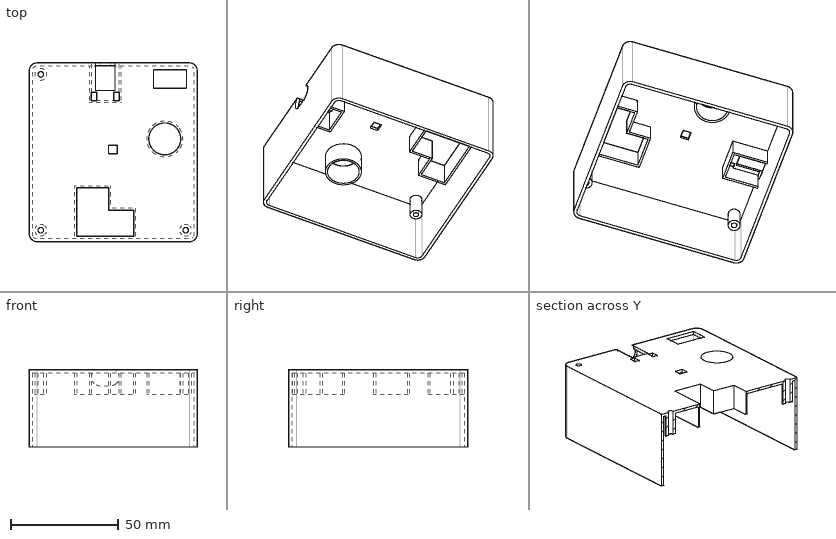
import cadquery as cq

width = 78.6
depth = 83.7
height = 36.3
wall = 1.5
lid_thickness = 1.5
corner_radius = 3.8

collar_wall = 1.0
collar_depth = 11.7
collar_floor = height - collar_depth
post_diameter = 5.5
screw_diameter = 2.5
screw_inset = 5.45
screw_points = [
    (screw_inset, screw_inset),
    (width - screw_inset, screw_inset),
    (screw_inset, depth - screw_inset),
]

l_left = 22.3
l_front = 2.7
l_width = 26.55
l_length = 22.5
l_stem_width = 14.8
l_foot_length = 12.1

round_center = (63.4, 48.15)
round_diameter = 14.8

rear_window = (58.2, 71.85, 15.2, 8.5)

sensor_window = (37.1, 41.3, 4.0, 3.85)

notch_left = 31.1
notch_width = 9.05
notch_length = 12.9
notch_center = notch_left + notch_width / 2

opening_width = 13.0
opening_height = 8.0
opening_rise = 0.4
opening_level = height + opening_rise - opening_height / 2

slot_width = 2.4
slot_length = 3.85
slot_front = 66.1
slot_spacing = 10.5


def block(left, front, size_x, size_y, bottom, top):
    """Upright box given by its front-left corner, plan size and level range."""
    return (
        cq.Workplane("XY", origin=(left, front, bottom))
        .box(size_x, size_y, top - bottom, centered=False)
    )


def cylinders(points, diameter):
    """Upright cylinders from the collar floor to the top face."""
    return (
        cq.Workplane("XY", origin=(0, 0, collar_floor))
        .pushPoints(points)
        .circle(diameter / 2)
        .extrude(collar_depth)
    )


def l_prism(margin):
    """L-shaped prism, grown outward on every side by the margin."""
    left = l_left - margin
    front = l_front - margin
    right = l_left + l_width + margin
    back = l_front + l_length + margin
    stem_right = l_left + l_stem_width + margin
    foot_back = l_front + l_foot_length + margin
    return (
        cq.Workplane("XY", origin=(0, 0, collar_floor))
        .polyline([
            (left, front),
            (right, front),
            (right, foot_back),
            (stem_right, foot_back),
            (stem_right, back),
            (left, back),
        ])
        .close()
        .extrude(collar_depth)
    )


def shell():
    """Rounded box that is closed by the lid and open at the bottom."""
    outside = block(0, 0, width, depth, 0, height).edges("|Z").fillet(corner_radius)
    cavity = (
        block(wall, wall, width - 2 * wall, depth - 2 * wall, 0, height - lid_thickness)
        .edges("|Z")
        .fillet(corner_radius - wall)
    )
    return outside.cut(cavity)


def lid_notch():
    """Rectangular notch through the lid at the rear edge."""
    return block(
        notch_left, depth - notch_length, notch_width, notch_length, height - lid_thickness, height
    )


def cable_opening():
    """Round-ended opening across the rear wall."""
    return (
        cq.Workplane("XZ", origin=(notch_center, depth, opening_level))
        .slot2D(opening_width, opening_height)
        .extrude(wall)
    )


def cable_pocket(margin):
    """Space between the cable collar walls, grown sideways and forward by the margin."""
    size_x = slot_spacing + slot_width
    return block(
        notch_center - size_x / 2 - margin,
        slot_front - margin,
        size_x + 2 * margin,
        depth - wall - slot_front + margin,
        collar_floor,
        height - lid_thickness,
    )


def tie_slots():
    """Two lid slots, one on each side of the notch centre line."""
    slots = cq.Workplane("XY")
    for side in (-1, 1):
        left = notch_center + side * slot_spacing / 2 - slot_width / 2
        slots = slots.add(
            block(left, slot_front, slot_width, slot_length, height - lid_thickness, height)
        )
    return slots.combine()


def lid_window(window):
    """Rectangular opening through the lid."""
    left, front, size_x, size_y = window
    return block(left, front, size_x, size_y, height - lid_thickness, height)


result = (
    shell()
    .union(l_prism(collar_wall))
    .union(cable_pocket(collar_wall))
    .union(cylinders([round_center], round_diameter + 2 * collar_wall))
    .union(cylinders(screw_points, post_diameter))
)

result = (
    result
    .cut(l_prism(0))
    .cut(lid_window(rear_window))
    .cut(cylinders([round_center], round_diameter))
    .cut(cylinders(screw_points, screw_diameter))
    .cut(cable_pocket(0))
    .cut(lid_notch())
    .cut(cable_opening())
    .cut(tie_slots())
    .cut(lid_window(sensor_window))
)